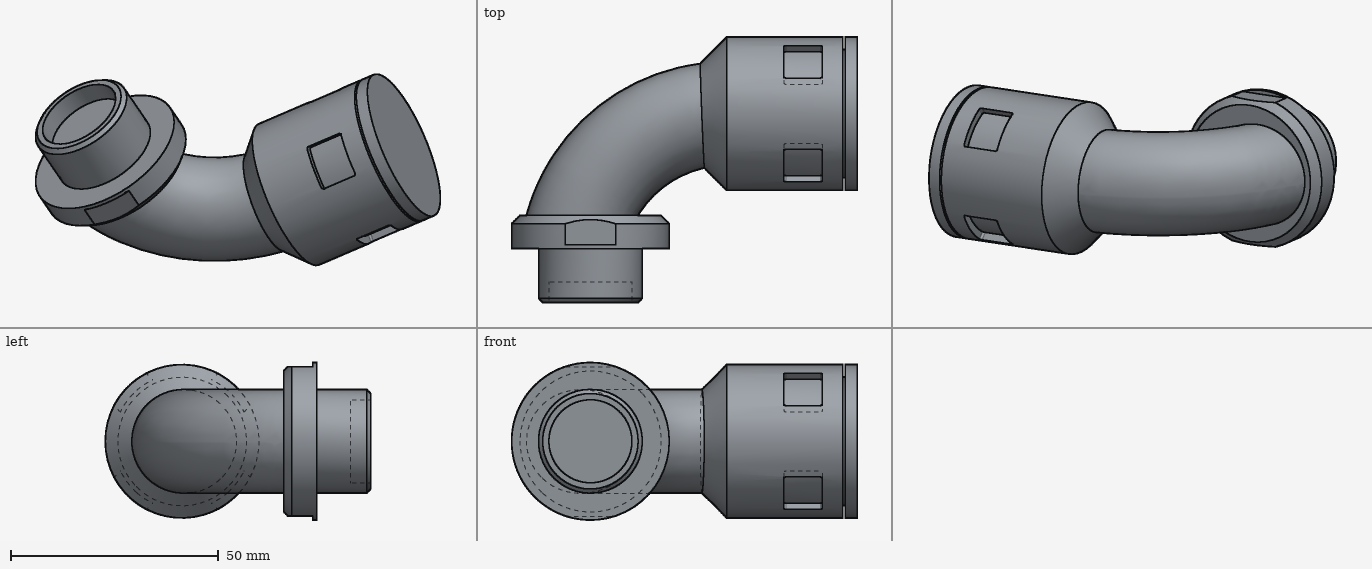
import cadquery as cq
import math

flange_radius = 19.0
flange_height = 8.0
flange_chamfer = 2.0
flat_offset = 18.0
flat_start = 1.0
spigot_radius = 12.5
spigot_length = 13.0
spigot_chamfer = 1.0
bore_radius = 10.0
bore_depth = 5.0

socket_axis_y = 32.5
socket_radius = 18.5
socket_end = 64.3
socket_length = 31.5
socket_start = socket_end - socket_length
cone_length = 6.5
collar_width = 3.0
groove_width = 0.5
groove_radius = 15.5

window_count = 4
window_start = 46.6
window_length = 9.25
window_width = 11.0
window_floor_radius = 16.5
window_corner = 0.5

tube_radius = 12.5
bend_radius = 37.5
tube_bottom = 4.2


def make_threaded_end():
    """Flange and spigot turned about Y, with two flats and a blind bore."""
    profile = [
        (0, -spigot_length),
        (spigot_radius - spigot_chamfer, -spigot_length),
        (spigot_radius, -spigot_length + spigot_chamfer),
        (spigot_radius, 0),
        (flange_radius, 0),
        (flange_radius, flange_height - flange_chamfer),
        (flange_radius - flange_chamfer, flange_height),
        (0, flange_height),
    ]
    body = cq.Workplane("XY").polyline(profile).close().revolve(360, (0, 0), (0, 1))
    cutter_depth = flange_radius
    flat_height = flange_height - flat_start
    for side in (-1, 1):
        cutter = cq.Workplane("XY").box(2 * flange_radius, flat_height, cutter_depth).translate(
            (0, flat_start + flat_height / 2, side * (flat_offset + cutter_depth / 2))
        )
        body = body.cut(cutter)
    return body


def make_bore():
    """Blind bore opening at the free end of the spigot."""
    return (
        cq.Workplane("XZ", origin=(0, -spigot_length, 0))
        .circle(bore_radius)
        .extrude(-bore_depth)
    )


def make_tube():
    """Tube along an arc that becomes tangent to the socket axis at socket_start."""
    center_y = socket_axis_y - bend_radius
    sweep_angle = math.degrees(math.acos((tube_bottom - center_y) / bend_radius))
    return (
        cq.Workplane("YZ", origin=(socket_start, socket_axis_y, 0))
        .circle(tube_radius)
        .revolve(sweep_angle, (-bend_radius, 0), (-bend_radius, 1))
    )


def make_socket():
    """Socket with conical shoulder and collar groove, turned about its X axis."""
    collar_start = socket_end - collar_width
    groove_start = collar_start - groove_width
    profile = [
        (socket_start - cone_length, 0),
        (socket_start - cone_length, socket_radius - cone_length),
        (socket_start, socket_radius),
        (groove_start, socket_radius),
        (groove_start, groove_radius),
        (collar_start, groove_radius),
        (collar_start, socket_radius),
        (socket_end, socket_radius),
        (socket_end, 0),
    ]
    return (
        cq.Workplane("XY", origin=(0, socket_axis_y, 0))
        .polyline(profile)
        .close()
        .revolve(360, (0, 0), (1, 0))
    )


def cut_windows(body):
    """Cut the evenly spaced windows down to a cylindrical floor."""
    core = (
        cq.Workplane("YZ", origin=(window_start, socket_axis_y, 0))
        .circle(window_floor_radius)
        .extrude(window_length)
    )
    window = (
        cq.Workplane("XY", origin=(window_start + window_length / 2, socket_axis_y, 0))
        .rect(window_length, window_width)
        .extrude(2 * socket_radius)
        .edges("|Z")
        .fillet(window_corner)
        .cut(core)
    )
    axis_start = (0, socket_axis_y, 0)
    axis_end = (1, socket_axis_y, 0)
    spacing = 360 / window_count
    for index in range(window_count):
        angle = (index + 0.5) * spacing
        body = body.cut(window.rotate(axis_start, axis_end, angle))
    return body


socket = cut_windows(make_socket())
result = make_threaded_end().union(make_tube()).union(socket).cut(make_bore())